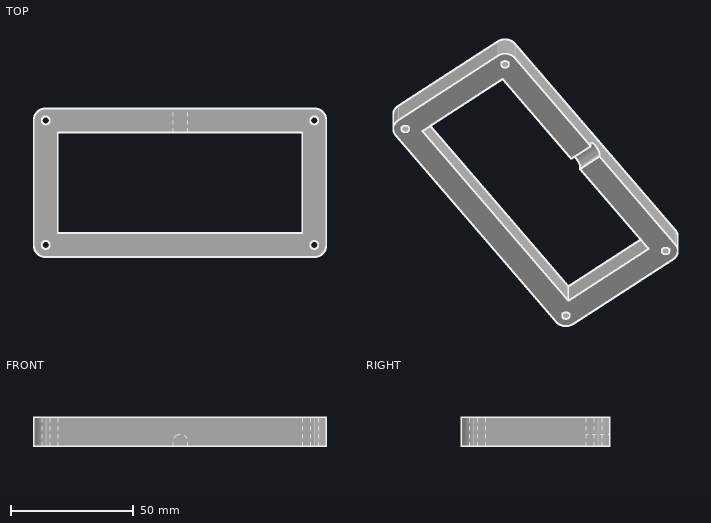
import cadquery as cq

length = 120.0
width = 61.0
height = 12.0
corner_radius = 5.0

rail_width = 10.0
window_length = length - 2 * rail_width
window_width = width - 2 * rail_width

hole_diameter = 3.2
hole_spacing_x = length - 2 * corner_radius
hole_spacing_y = width - 2 * corner_radius

notch_width = 6.0
notch_height = 5.0


def frame_body():
    """Rounded rectangular block standing on Z = 0."""
    block = cq.Workplane("XY").box(length, width, height, centered=(True, True, False))
    return block.edges("|Z").fillet(corner_radius)


def window_cutter():
    """Rectangular opening through the full height."""
    return cq.Workplane("XY").rect(window_length, window_width).extrude(height)


def screw_hole_cutter():
    """Four through holes, one at each corner."""
    corners = cq.Workplane("XY").rect(hole_spacing_x, hole_spacing_y, forConstruction=True)
    return corners.vertices().circle(hole_diameter / 2).extrude(height)


def cable_notch_cutter():
    """Arched channel along Y from the window out through the +Y side."""
    half_width = notch_width / 2
    spring_height = notch_height - half_width
    profile = (
        cq.Workplane("XZ")
        .moveTo(-half_width, 0)
        .lineTo(-half_width, spring_height)
        .threePointArc((0, notch_height), (half_width, spring_height))
        .lineTo(half_width, 0)
        .close()
    )
    return profile.extrude(-width / 2)


result = (
    frame_body()
    .cut(window_cutter())
    .cut(screw_hole_cutter())
    .cut(cable_notch_cutter())
)